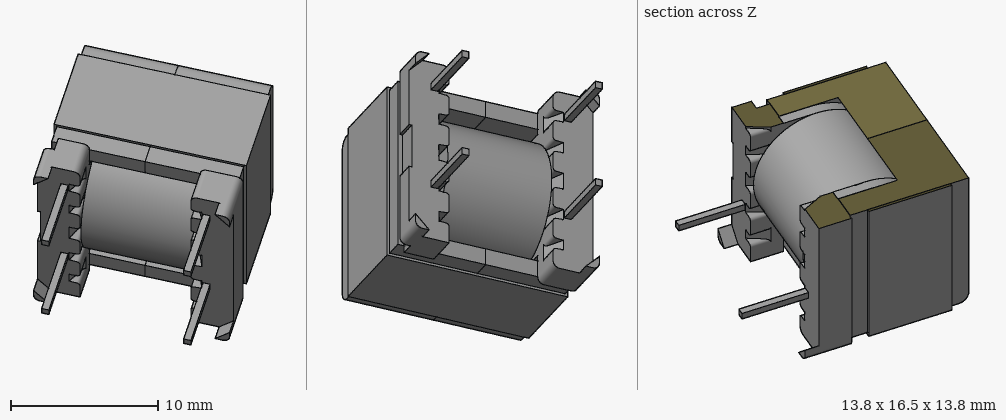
import cadquery as cq


overall_depth = 16.45

core_width = 13.16
core_height = 12.77
core_depth = 8.97
core_edge_radius = 0.79
window_radius = 5.15
winding_axis_y = 2.47

tape_thickness = 0.2
tape_front_y = 1.33
tape_back_y = 7.6

winding_length = 7.8
winding_radius = 4.74
flange_thickness = 0.77
flange_radius = winding_radius
barrel_radius = 1.97

bobbin_side = 13.8
leg_depth = 2.48
leg_corner_radius = 0.5
ledge_depth = 0.99
ledge_inset = 0.79
mark_height = 3.25
mark_depth = 0.2

foot_side = 1.02
foot_length = 1.04

slot_depth = flange_thickness
outer_slot_height = 0.74
inner_slot_height = 0.79
middle_slot_height = 1.22
slot_flare = 0.03
slot_lip_radius = 0.25
outer_slot_length = 1.53
inner_slot_length = 1.94

pin_side = 0.51
pin_spacing_x = 10.0
upper_row_z = 5.0
inner_row_z = 2.62

leg_inner_x = winding_length / 2
leg_outer_x = bobbin_side / 2
leg_front_y = -leg_depth
foot_front_y = leg_front_y - foot_length
pin_tip_y = core_depth - overall_depth
window_width = winding_length + 2 * flange_thickness

slots = [
    (upper_row_z, outer_slot_height, outer_slot_length),
    (inner_row_z, inner_slot_height, inner_slot_length),
    (0, middle_slot_height, inner_slot_length),
    (-inner_row_z, inner_slot_height, inner_slot_length),
    (-upper_row_z, outer_slot_height, outer_slot_length),
]

pin_places = [
    (x, z)
    for x in (-pin_spacing_x / 2, pin_spacing_x / 2)
    for z in (upper_row_z, -inner_row_z)
]


def block(x_range, y_range, z_range):
    """Box given by its two limits along each axis."""
    return cq.Workplane("XY").box(
        x_range[1] - x_range[0],
        y_range[1] - y_range[0],
        z_range[1] - z_range[0],
        centered=False,
    ).translate((x_range[0], y_range[0], z_range[0]))


def x_cylinder(radius, start_x, end_x):
    """Cylinder on the winding axis."""
    return (
        cq.Workplane("YZ", origin=(start_x, 0, 0))
        .center(winding_axis_y, 0)
        .circle(radius)
        .extrude(end_x - start_x)
    )


def u_prism(radius, start_x, end_x):
    """Prism that is round behind the winding axis and straight from there to the core front."""
    return (
        cq.Workplane("YZ", origin=(start_x, 0, 0))
        .moveTo(0, -radius)
        .lineTo(winding_axis_y, -radius)
        .threePointArc((winding_axis_y + radius, 0), (winding_axis_y, radius))
        .lineTo(0, radius)
        .close()
        .extrude(end_x - start_x)
    )


def core_block():
    """Both core halves together, with the U-shaped winding window open at the front."""
    blank = block(
        (-core_width / 2, core_width / 2),
        (0, core_depth),
        (-core_height / 2, core_height / 2),
    )
    blank = blank.edges("|X and >Y").fillet(core_edge_radius)
    return blank.cut(u_prism(window_radius, -window_width / 2, window_width / 2))


def make_core_half(side):
    """Core half on the -X (side = -1) or +X (side = 1) side."""
    x_range = sorted((0, side * core_width / 2))
    half_region = block(x_range, (0, core_depth), (-core_height / 2, core_height / 2))
    return core_block().intersect(half_region)


def make_tape():
    """Rectangular band around the core."""
    return (
        cq.Workplane("XZ", origin=(0, tape_back_y, 0))
        .rect(core_width + 2 * tape_thickness, core_height + 2 * tape_thickness)
        .rect(core_width, core_height)
        .extrude(tape_back_y - tape_front_y)
    )


def make_winding():
    """Tubular coil around the bobbin barrel."""
    coil = x_cylinder(winding_radius, -leg_inner_x, leg_inner_x)
    return coil.cut(x_cylinder(barrel_radius, -leg_inner_x, leg_inner_x))


def slot_cutter(center_z, height, length):
    """Slot in the +X leg, with flared sides, rounded lips and a floor that ramps out at the back."""
    floor_x = leg_inner_x + slot_depth
    floor_half = height / 2
    mouth_half = floor_half + slot_flare
    slot = (
        cq.Workplane("XZ", origin=(0, leg_front_y, 0))
        .moveTo(floor_x, floor_half)
        .lineTo(floor_x, -floor_half)
        .lineTo(leg_inner_x + slot_lip_radius, -mouth_half)
        .radiusArc((leg_inner_x, -mouth_half - slot_lip_radius), -slot_lip_radius)
        .lineTo(leg_inner_x, mouth_half + slot_lip_radius)
        .radiusArc((leg_inner_x + slot_lip_radius, mouth_half), -slot_lip_radius)
        .close()
        .extrude(-length)
    )
    ramp_height = 2 * (mouth_half + slot_lip_radius)
    ramp = (
        cq.Workplane("XY", origin=(0, 0, -ramp_height / 2))
        .moveTo(leg_inner_x, leg_front_y)
        .lineTo(floor_x, leg_front_y)
        .lineTo(leg_inner_x, leg_front_y + length)
        .close()
        .extrude(ramp_height)
    )
    return slot.intersect(ramp).translate((0, 0, center_z))


def leg_blank():
    """Slotted +X leg with rounded corners and a foot at both outer corners."""
    half_height = bobbin_side / 2
    leg = block((leg_inner_x, leg_outer_x), (foot_front_y, 0), (-half_height, half_height))
    leg = leg.edges("|Y").fillet(leg_corner_radius)
    front_clearance = (
        cq.Workplane("XZ", origin=(0, leg_front_y, 0))
        .moveTo(leg_inner_x, half_height)
        .lineTo(leg_outer_x - foot_side, half_height)
        .lineTo(leg_outer_x, half_height - foot_side)
        .lineTo(leg_outer_x, -half_height + foot_side)
        .lineTo(leg_outer_x - foot_side, -half_height)
        .lineTo(leg_inner_x, -half_height)
        .close()
        .extrude(foot_length)
    )
    leg = leg.cut(front_clearance)
    for center_z, height, length in slots:
        leg = leg.cut(slot_cutter(center_z, height, length))
    return leg


def left_leg():
    """-X leg: one square corner, a ledge behind its outer face and a shallow mark for pin 1."""
    half_height = bobbin_side / 2
    leg = leg_blank().mirror("YZ")
    square_corner = block(
        (-leg_inner_x - leg_corner_radius, -leg_inner_x),
        (leg_front_y, 0),
        (-half_height, -half_height + leg_corner_radius),
    )
    ledge = block(
        (-leg_outer_x, -leg_outer_x + ledge_inset),
        (-ledge_depth, 0),
        (-half_height, half_height),
    )
    mark = block(
        (-leg_outer_x, -leg_outer_x + mark_depth),
        (leg_front_y, 0),
        (-mark_height / 2, mark_height / 2),
    )
    return leg.union(square_corner).cut(ledge).cut(mark)


def make_bobbin():
    """Barrel, two flanges inside the core window, two legs and the four moulded-in pins."""
    bobbin = x_cylinder(barrel_radius, -leg_inner_x, leg_inner_x)
    for side in (-1, 1):
        inner_x = side * leg_inner_x
        outer_x = inner_x + side * flange_thickness
        bobbin = bobbin.union(u_prism(flange_radius, *sorted((inner_x, outer_x))))
    bobbin = bobbin.union(left_leg()).union(leg_blank())
    pins = (
        cq.Workplane("XZ", origin=(0, leg_front_y, 0))
        .pushPoints(pin_places)
        .rect(pin_side, pin_side)
        .extrude(leg_front_y - pin_tip_y)
    )
    return bobbin.union(pins)


core_halves = [make_core_half(side) for side in (-1, 1)]
tape = make_tape()
winding = make_winding()
bobbin = make_bobbin()

bodies = [*core_halves, tape, winding, bobbin]
result = cq.Compound.makeCompound([body.solids().val() for body in bodies])